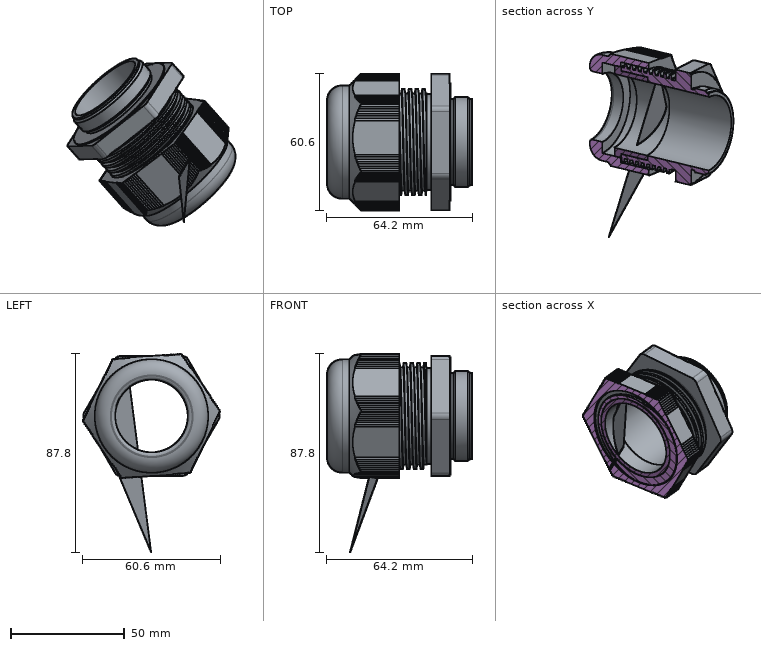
import cadquery as cq
import math


HEX_SIDES = 6

NUT_ACROSS_FLATS = 53.0
NUT_CORNER_RADIUS = 30.34
NUT_TURN = 4.3
NUT_END = 32.0
DOME_RADIUS = 25.1
DOME_ROUND = 6.85
DOME_END = 10.0
MOUTH_RADIUS = 16.0
MOUTH_ROUND = 1.8
MOUTH_DEPTH = 7.1

PLAIN_FLAT_HALF_WIDTH = 7.56
GROOVE_COUNT = 7
GROOVE_WIDTH = 1.02
GROOVE_DEPTH = 0.3

BORE_RADIUS = 17.3
INSERT_START = 13.4
INSERT_END = 31.0
FLANGE_RADIUS = 21.3
FLANGE_END = 17.0
SLEEVE_RADIUS = 19.5

OVERALL_HEIGHT = 87.82
TAIL_THICKNESS = 0.2
TAIL_TIP_X = 10.35
TAIL_TIP_Y = 0.1
TAIL_OUTER_ROOT = (29.0, 21.1, -10.2)
TAIL_INNER_ROOT = (30.35, 10.25, 18.8)

GLAND_LENGTH = 64.16
THREAD_CREST_RADIUS = 23.5
THREAD_ROOT_RADIUS = 21.55
THREAD_PITCH = 3.0
THREAD_CREST_WIDTH = 1.2
THREAD_BASE_WIDTH = 1.9
THREAD_START = 18.0
THREAD_END = 43.9
THREAD_ROOT_END = 44.05
THREAD_CLEARANCE = 0.1
THREAD_OVERLAP = 0.2
COLLAR_RADIUS = 21.25
COLLAR_ROUND = 0.45
HEX_ACROSS_FLATS = 53.05
HEX_CORNER_ROUND = 2.85
HEX_START = 46.1
HEX_END = 54.2
WASHER_FACE_RADIUS = 25.95
WASHER_FACE_END = 54.75
SPIGOT_RADIUS = 19.95
SPIGOT_RELIEF_RADIUS = 19.1
SPIGOT_CONE_START = 55.9
SPIGOT_START = 56.75
SPIGOT_END = 62.15
SPIGOT_CHAMFER_END = 63.2


def tube_profile(x, radius):
    """Start an outline in the XY plane whose Y is the radius."""
    return cq.Workplane("XY").moveTo(x, radius)


def about_axis(outline):
    return outline.close().revolve(360, (0, 0, 0), (1, 0, 0))


def cylinder(x_start, x_end, radius):
    return cq.Workplane("YZ").workplane(offset=x_start).circle(radius).extrude(x_end - x_start)


def hexagon(x_start, x_end, across_flats):
    """Hexagonal bar along X with corners at +Y and -Y."""
    across_corners = across_flats / math.cos(math.pi / HEX_SIDES)
    return (
        cq.Workplane("YZ").workplane(offset=x_start)
        .polygon(HEX_SIDES, across_corners).extrude(x_end - x_start)
    )


def nut_envelope():
    """Dome, 45 degree shoulder and trimming cylinder of the cap nut, with its open inside."""
    mouth_edge = MOUTH_RADIUS + MOUTH_ROUND
    dome_edge = DOME_RADIUS - DOME_ROUND
    slant = math.sqrt(0.5)
    shoulder_end = DOME_END + NUT_CORNER_RADIUS - DOME_RADIUS
    thread_bore = THREAD_CREST_RADIUS + THREAD_CLEARANCE
    return about_axis(
        tube_profile(MOUTH_ROUND, MOUTH_RADIUS)
        .threePointArc(
            (MOUTH_ROUND * (1 - slant), mouth_edge - MOUTH_ROUND * slant), (0, mouth_edge)
        )
        .lineTo(0, dome_edge)
        .threePointArc(
            (DOME_ROUND * (1 - slant), dome_edge + DOME_ROUND * slant), (DOME_ROUND, DOME_RADIUS)
        )
        .lineTo(DOME_END, DOME_RADIUS)
        .lineTo(shoulder_end, NUT_CORNER_RADIUS)
        .lineTo(NUT_END, NUT_CORNER_RADIUS)
        .lineTo(NUT_END, thread_bore)
        .lineTo(FLANGE_END, thread_bore)
        .lineTo(FLANGE_END, FLANGE_RADIUS)
        .lineTo(MOUTH_DEPTH, FLANGE_RADIUS)
        .lineTo(MOUTH_DEPTH, MOUTH_RADIUS)
    )


def point_on_flat(side, along, depth=0):
    """(Y, Z) of a point on one flat of the cap nut, measured from the middle of that flat."""
    turn = side * 2 * math.pi / HEX_SIDES
    out = NUT_ACROSS_FLATS / 2 - depth
    return (
        -along * math.cos(turn) - out * math.sin(turn),
        -along * math.sin(turn) + out * math.cos(turn),
    )


def grooved_hexagon(length):
    """Hexagonal bar whose flats carry round-bottomed grooves, side by side, at both ends."""
    half_side = NUT_ACROSS_FLATS / 2 * math.tan(math.pi / HEX_SIDES)
    groove_edges = [PLAIN_FLAT_HALF_WIDTH + i * GROOVE_WIDTH for i in range(GROOVE_COUNT + 1)]
    edges = [-y for y in reversed(groove_edges)] + groove_edges
    outline = cq.Workplane("YZ").moveTo(*point_on_flat(0, -half_side))
    for side in range(HEX_SIDES):
        if side > 0:
            outline = outline.lineTo(*point_on_flat(side, -half_side))
        outline = outline.lineTo(*point_on_flat(side, edges[0]))
        for start, end in zip(edges, edges[1:]):
            is_plain_middle = start < 0 < end
            if is_plain_middle:
                outline = outline.lineTo(*point_on_flat(side, end))
            else:
                bottom = point_on_flat(side, (start + end) / 2, GROOVE_DEPTH)
                outline = outline.threePointArc(bottom, point_on_flat(side, end))
    return outline.close().extrude(length)


def make_cap_nut(tail):
    nut = grooved_hexagon(NUT_END).intersect(nut_envelope())
    return nut.rotate((0, 0, 0), (1, 0, 0), -NUT_TURN).cut(tail)


def make_tail():
    """Thin triangular fin; its tip sets the lowest point of the gland."""
    corner_half_angle = math.acos(NUT_ACROSS_FLATS / 2 / NUT_CORNER_RADIUS)
    highest_corner = math.radians(NUT_TURN + 90) - corner_half_angle
    nut_top = NUT_CORNER_RADIUS * math.sin(highest_corner)
    tip = cq.Vector(TAIL_TIP_X, TAIL_TIP_Y, nut_top - OVERALL_HEIGHT)
    outer = cq.Vector(*TAIL_OUTER_ROOT)
    inner = cq.Vector(*TAIL_INNER_ROOT)
    face = cq.Wire.makePolygon([tip, outer, inner], close=True)
    thickness = (inner - tip).cross(outer - tip).normalized() * TAIL_THICKNESS
    return cq.Workplane(cq.Solid.extrudeLinear(face, [], thickness))


def make_insert(tail):
    ring = about_axis(
        tube_profile(INSERT_START, BORE_RADIUS)
        .lineTo(INSERT_START, FLANGE_RADIUS)
        .lineTo(FLANGE_END, FLANGE_RADIUS)
        .lineTo(FLANGE_END, SLEEVE_RADIUS)
        .lineTo(INSERT_END, SLEEVE_RADIUS)
        .lineTo(INSERT_END, BORE_RADIUS)
    )
    return ring.union(tail)


def thread_ridge():
    """Right-handed helical ridge with a trapezoidal section, trimmed square at its end."""
    foot = THREAD_ROOT_RADIUS - THREAD_OVERLAP
    length = THREAD_END - THREAD_START + THREAD_PITCH
    helix = cq.Wire.makeHelix(THREAD_PITCH, length, THREAD_ROOT_RADIUS)
    section = cq.Workplane("XZ").polyline([
        (foot, -THREAD_BASE_WIDTH / 2),
        (THREAD_CREST_RADIUS, -THREAD_CREST_WIDTH / 2),
        (THREAD_CREST_RADIUS, THREAD_CREST_WIDTH / 2),
        (foot, THREAD_BASE_WIDTH / 2),
    ]).close()
    ridge = section.sweep(cq.Workplane(helix), isFrenet=True)
    ridge = ridge.rotate((0, 0, 0), (0, 1, 0), 90).translate((THREAD_START, 0, 0))
    return ridge.intersect(cylinder(FLANGE_END, THREAD_END, 2 * THREAD_CREST_RADIUS))


def make_body(tail):
    turned = about_axis(
        tube_profile(FLANGE_END, SLEEVE_RADIUS)
        .lineTo(FLANGE_END, THREAD_ROOT_RADIUS)
        .lineTo(THREAD_ROOT_END, THREAD_ROOT_RADIUS)
        .lineTo(THREAD_ROOT_END, COLLAR_RADIUS)
        .lineTo(HEX_START - COLLAR_ROUND, COLLAR_RADIUS)
        .radiusArc((HEX_START, COLLAR_RADIUS + COLLAR_ROUND), -COLLAR_ROUND)
        .lineTo(HEX_START, WASHER_FACE_RADIUS)
        .lineTo(WASHER_FACE_END, WASHER_FACE_RADIUS)
        .lineTo(WASHER_FACE_END, SPIGOT_RELIEF_RADIUS)
        .lineTo(SPIGOT_CONE_START, SPIGOT_RELIEF_RADIUS)
        .lineTo(SPIGOT_START, SPIGOT_RADIUS)
        .lineTo(SPIGOT_END, SPIGOT_RADIUS)
        .lineTo(SPIGOT_CHAMFER_END, SPIGOT_RELIEF_RADIUS)
        .lineTo(GLAND_LENGTH, SPIGOT_RELIEF_RADIUS)
        .lineTo(GLAND_LENGTH, BORE_RADIUS)
        .lineTo(INSERT_END, BORE_RADIUS)
        .lineTo(INSERT_END, SLEEVE_RADIUS)
    )
    spanner_hex = (
        hexagon(HEX_START, HEX_END, HEX_ACROSS_FLATS).edges("|X").fillet(HEX_CORNER_ROUND)
        .cut(cylinder(HEX_START, HEX_END, COLLAR_RADIUS))
    )
    return turned.union(spanner_hex).union(thread_ridge()).cut(tail)


tail = make_tail()
insert = make_insert(tail)
cap_nut = make_cap_nut(tail)
body = make_body(tail)

result = cq.Compound.makeCompound([
    cap_nut.solids().val(),
    body.solids().val(),
    insert.solids().val(),
])